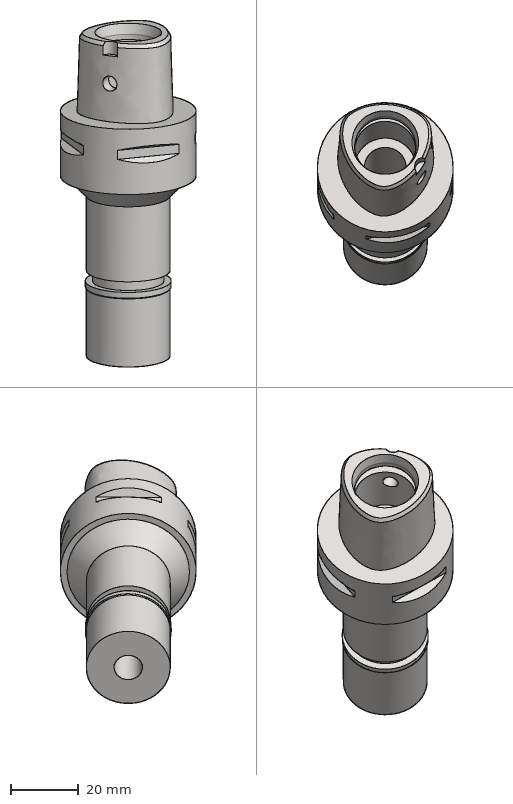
import cadquery as cq
import math

TOTAL_HEIGHT = 99.0
FLANGE_TOP = 75.0
FLANGE_HEIGHT = 20.0
CONE_HEIGHT = 5.9
NECK_TOP = 26.1
NUT_TOP = 23.0
COLLAR_HEIGHT = 2.1
COLLAR_CHAMFER = 0.3
FLANGE_BOTTOM = FLANGE_TOP - FLANGE_HEIGHT
CONE_BOTTOM = FLANGE_BOTTOM - CONE_HEIGHT

FLANGE_RADIUS = 20.0
CONE_TOP_RADIUS = 18.0
BODY_RADIUS = 12.4
NECK_RADIUS = 10.6
COLLAR_RADIUS = 12.7

SHANK_MEAN_RADIUS = 14.2
LOBE_AMPLITUDE = 0.94
SHANK_TAPER = 0.7
OUTLINE_POINTS = 48
SHANK_CHAMFER_HEIGHT = 1.2
SHANK_CHAMFER_WIDTH = 0.8
CHAMFER_BASE = TOTAL_HEIGHT - SHANK_CHAMFER_HEIGHT

MOUTH_RADIUS = 9.8
MOUTH_CONE_DEPTH = 3.2
SHANK_BORE_RADIUS = 9.0
CLAMP_GROOVE_START = 4.8
CLAMP_GROOVE_RADIUS = 11.2
CLAMP_GROOVE_END = 7.7
THROUGH_BORE_RADIUS = 6.1
NUT_BORE_RADIUS = 4.2

SLOT_RADIUS = 2.6
SLOT_CENTER_Y = -13.4
SLOT_DEPTH = 4.0
SIDE_HOLE_RADIUS = 2.3
SIDE_HOLE_Z = 86.6

NOTCH_COUNT = 4
NOTCH_FLOOR_DISTANCE = 17.5
NOTCH_Z = 67.1
NOTCH_FLOOR_HEIGHT = 2.8
NOTCH_MOUTH_HEIGHT = 5.2


def lobed_wire(inset, z):
    """Three-lobed outline, moved inward by a constant normal distance."""
    def point(angle):
        reach = SHANK_MEAN_RADIUS - inset - LOBE_AMPLITUDE * math.sin(3 * angle)
        slope = -3 * LOBE_AMPLITUDE * math.cos(3 * angle)
        x = reach * math.cos(angle) - slope * math.sin(angle)
        y = reach * math.sin(angle) + slope * math.cos(angle)
        return cq.Vector(x, y, z)

    step = 2 * math.pi / OUTLINE_POINTS
    points = [point(index * step - math.pi / 2) for index in range(OUTLINE_POINTS)]
    outline = cq.Edge.makeSpline(points, periodic=True)
    return cq.Wire.assembleEdges([outline])


def make_shank():
    base = lobed_wire(0, FLANGE_TOP)
    shoulder = lobed_wire(SHANK_TAPER, CHAMFER_BASE)
    end = lobed_wire(SHANK_TAPER + SHANK_CHAMFER_WIDTH, TOTAL_HEIGHT)
    taper = cq.Solid.makeLoft([base, shoulder], True)
    chamfer = cq.Solid.makeLoft([shoulder, end], True)
    return cq.Workplane(taper).union(cq.Workplane(chamfer))


def revolve_profile(points):
    """Revolve a closed (radius, height) outline about Z."""
    return cq.Workplane("XZ").polyline(points).close().revolve(360, (0, 0), (0, 1))


def make_holder_exterior():
    turned_body = revolve_profile([
        (0, NUT_TOP),
        (NECK_RADIUS, NUT_TOP),
        (NECK_RADIUS, NECK_TOP),
        (BODY_RADIUS, NECK_TOP),
        (BODY_RADIUS, CONE_BOTTOM),
        (CONE_TOP_RADIUS, FLANGE_BOTTOM),
        (FLANGE_RADIUS, FLANGE_BOTTOM),
        (FLANGE_RADIUS, FLANGE_TOP),
        (0, FLANGE_TOP),
    ])
    return turned_body.union(make_shank())


def make_holder_bore():
    groove_top = TOTAL_HEIGHT - CLAMP_GROOVE_START
    groove_bottom = TOTAL_HEIGHT - CLAMP_GROOVE_END
    return revolve_profile([
        (0, NUT_TOP),
        (THROUGH_BORE_RADIUS, NUT_TOP),
        (THROUGH_BORE_RADIUS, FLANGE_TOP),
        (SHANK_BORE_RADIUS, FLANGE_TOP),
        (SHANK_BORE_RADIUS, groove_bottom),
        (CLAMP_GROOVE_RADIUS, groove_bottom),
        (CLAMP_GROOVE_RADIUS, groove_top),
        (SHANK_BORE_RADIUS, groove_top),
        (SHANK_BORE_RADIUS, TOTAL_HEIGHT - MOUTH_CONE_DEPTH),
        (MOUTH_RADIUS, TOTAL_HEIGHT),
        (0, TOTAL_HEIGHT),
    ])


def make_key_slot():
    return (
        cq.Workplane("XY", origin=(0, SLOT_CENTER_Y, TOTAL_HEIGHT))
        .circle(SLOT_RADIUS)
        .extrude(-SLOT_DEPTH)
    )


def make_side_hole():
    """Radial hole from the -Y side into the shank bore."""
    return cq.Workplane("XZ", origin=(0, 0, SIDE_HOLE_Z)).circle(SIDE_HOLE_RADIUS).extrude(FLANGE_RADIUS)


def make_notch(angle):
    """Straight trapezoidal groove across the flange rim, facing the given angle."""
    half_floor = NOTCH_FLOOR_HEIGHT / 2
    half_mouth = NOTCH_MOUTH_HEIGHT / 2
    return (
        cq.Workplane("XZ", origin=(0, 0, NOTCH_Z))
        .polyline([
            (NOTCH_FLOOR_DISTANCE, -half_floor),
            (FLANGE_RADIUS, -half_mouth),
            (FLANGE_RADIUS, half_mouth),
            (NOTCH_FLOOR_DISTANCE, half_floor),
        ])
        .close()
        .extrude(FLANGE_RADIUS, both=True)
        .rotate((0, 0, 0), (0, 0, 1), angle)
    )


def make_holder():
    body = make_holder_exterior().cut(make_holder_bore())
    body = body.cut(make_key_slot()).cut(make_side_hole())
    notch_spacing = 360 / NOTCH_COUNT
    for index in range(NOTCH_COUNT):
        body = body.cut(make_notch((index + 0.5) * notch_spacing))
    return body


def make_nut():
    """Clamping nut with a chamfered collar, seated against the holder's neck."""
    collar_bottom = NUT_TOP - COLLAR_HEIGHT
    return revolve_profile([
        (NUT_BORE_RADIUS, 0),
        (BODY_RADIUS, 0),
        (BODY_RADIUS, collar_bottom),
        (COLLAR_RADIUS, collar_bottom + COLLAR_CHAMFER),
        (COLLAR_RADIUS, NUT_TOP),
        (NUT_BORE_RADIUS, NUT_TOP),
    ])


holder = make_holder()
nut = make_nut()
result = cq.Compound.makeCompound([holder.val(), nut.val()])